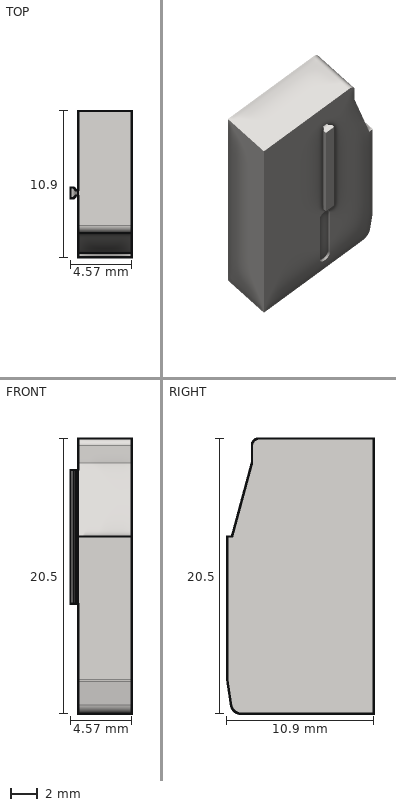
import cadquery as cq
import math

thickness = 4.0
depth = 10.9
height = 20.5

top_setback = 1.82
ledge_depth = 0.35
ledge_z = 13.2
slope_top_z = 18.65
top_radius = 0.55

taper_top_z = 2.5
taper_angle = 8.5
taper_setback = taper_top_z * math.tan(math.radians(taper_angle))
bottom_radius = 0.8
taper_blend_radius = 1.0

feature_y = 4.8

rail_height = 0.57
rail_width = 0.82
neck_width = 0.4
neck_height = 0.15
head_height = 0.25
rail_bottom_z = 8.18
rail_length = 9.96

slot_width = 1.0
slot_length = 6.2
slot_center_z = 4.1
slot_depth = 0.2


def make_body():
    """Extrude the side outline and round its front corners."""
    body = (
        cq.Workplane("YZ")
        .moveTo(depth, 0)
        .lineTo(taper_setback, 0)
        .lineTo(0, taper_top_z)
        .lineTo(0, ledge_z)
        .lineTo(ledge_depth, ledge_z)
        .lineTo(top_setback, slope_top_z)
        .lineTo(top_setback, height)
        .lineTo(depth, height)
        .close()
        .extrude(thickness)
    )
    rounded_corners = [
        (taper_setback, 0, bottom_radius),
        (0, taper_top_z, taper_blend_radius),
        (top_setback, height, top_radius),
    ]
    for y, z, radius in rounded_corners:
        corner = cq.selectors.NearestToPointSelector((thickness / 2, y, z))
        body = body.edges("|X").edges(corner).fillet(radius)
    return body


def make_rail():
    """Upright rail with a narrow neck at the body and a wider head."""
    return (
        cq.Workplane("XY", origin=(0, feature_y, rail_bottom_z))
        .moveTo(0, -neck_width / 2)
        .lineTo(-neck_height, -neck_width / 2)
        .lineTo(head_height - rail_height, -rail_width / 2)
        .lineTo(-rail_height, -rail_width / 2)
        .lineTo(-rail_height, rail_width / 2)
        .lineTo(head_height - rail_height, rail_width / 2)
        .lineTo(-neck_height, neck_width / 2)
        .lineTo(0, neck_width / 2)
        .close()
        .extrude(rail_length)
    )


def make_slot():
    """Cutter for the upright slot in the -X face."""
    return (
        cq.Workplane("YZ", origin=(0, feature_y, slot_center_z))
        .slot2D(slot_length, slot_width, angle=90)
        .extrude(slot_depth)
    )


result = make_body().union(make_rail()).cut(make_slot())